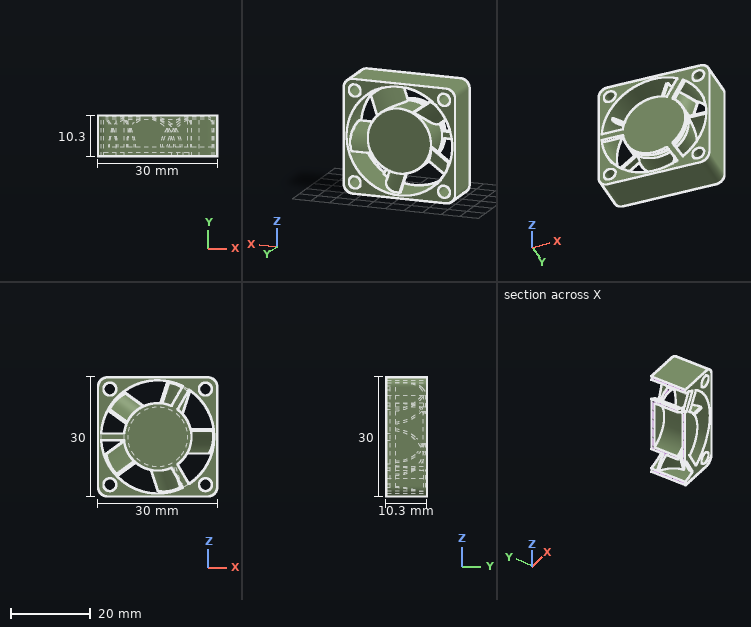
import cadquery as cq
import math


frame_side = 30.0
frame_depth = 10.3
corner_radius = 2.5
bore_radius = 14.2
mount_hole_radius = 1.6
mount_hole_pitch = 24.0
plate_radius = 8.5
plate_thickness = 1.0
spoke_count = 3
spoke_width = 1.8
spoke_overlap = 0.3

hub_radius = plate_radius
hub_wall = 1.0
rotor_front = 2.35
blade_count = 5
blade_thickness = 0.5
blade_root = 6.0
tip_reach = 13.98
tip_radius = 9.0

blade_front_z = 1.47
blade_rear_z = -4.2
front_slope = math.radians(3)
rear_slope = math.radians(75)


def cylinder(radius, front, rear):
    """Solid cylinder on the fan axis between two depths."""
    return cq.Workplane("XZ", origin=(0, front, 0)).circle(radius).extrude(front - rear)


def make_spoke(angle):
    """Bar from the fan axis into the bore wall."""
    length = bore_radius + spoke_overlap
    bar = cq.Workplane("XY").box(length, plate_thickness, spoke_width, centered=(False, False, True))
    return bar.rotate((0, 0, 0), (0, 1, 0), angle)


def make_frame():
    body = cq.Workplane("XZ").rect(frame_side, frame_side).extrude(-frame_depth)
    body = body.edges("|Y").fillet(corner_radius)
    body = body.cut(cylinder(bore_radius, 0, frame_depth))
    holes = (
        cq.Workplane("XZ")
        .rect(mount_hole_pitch, mount_hole_pitch, forConstruction=True)
        .vertices()
        .circle(mount_hole_radius)
        .extrude(-frame_depth)
    )
    body = body.cut(holes).union(cylinder(plate_radius, 0, plate_thickness))
    for i in range(spoke_count):
        body = body.union(make_spoke(180 + i * 360 / spoke_count))
    return body


def make_blade():
    """Curved blade pointing along +X, with a rounded tip."""
    arc_radius = (blade_front_z - blade_rear_z) / (math.cos(front_slope) - math.cos(rear_slope))
    center_y = rotor_front - arc_radius * math.sin(front_slope)
    center_z = blade_front_z - arc_radius * math.cos(front_slope)
    outer_radius = arc_radius + blade_thickness
    outer_front_slope = math.asin((rotor_front - center_y) / outer_radius)
    mid_slope = (front_slope + rear_slope) / 2

    def section_point(radius, slope):
        return center_y + radius * math.sin(slope), center_z + radius * math.cos(slope)

    blade = (
        cq.Workplane("YZ", origin=(blade_root, 0, 0))
        .moveTo(*section_point(arc_radius, front_slope))
        .threePointArc(section_point(arc_radius, mid_slope), section_point(arc_radius, rear_slope))
        .lineTo(*section_point(outer_radius, rear_slope))
        .threePointArc(section_point(outer_radius, mid_slope), section_point(outer_radius, outer_front_slope))
        .close()
        .extrude(tip_reach - blade_root)
    )
    tip_limit = cylinder(tip_radius, 0, frame_depth).translate((tip_reach - tip_radius, 0, 0))
    return blade.intersect(tip_limit)


def make_rotor():
    """Cup-shaped hub, open toward the motor plate, with blades around it."""
    body = cylinder(hub_radius, rotor_front, frame_depth)
    blade = make_blade()
    for i in range(blade_count):
        body = body.union(blade.rotate((0, 0, 0), (0, 1, 0), i * 360 / blade_count))
    return body.cut(cylinder(hub_radius - hub_wall, rotor_front, frame_depth - hub_wall))


frame = make_frame()
rotor = make_rotor()
result = cq.Compound.makeCompound([frame.val(), rotor.val()])